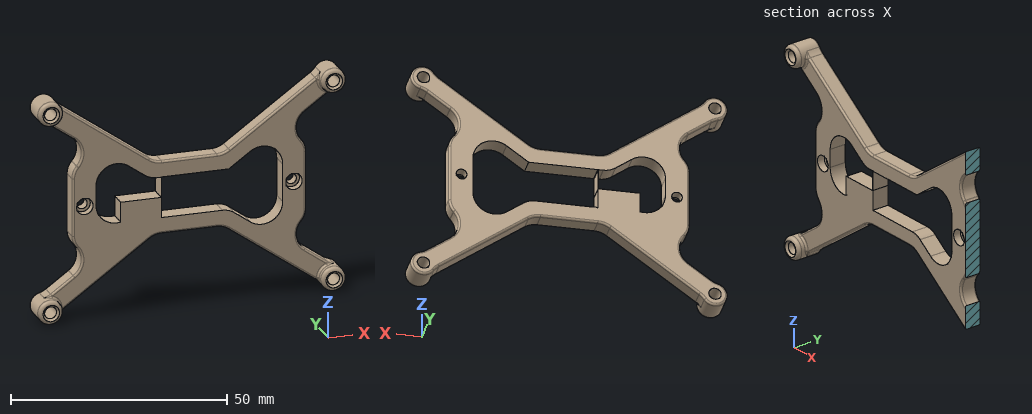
import cadquery as cq
import math

plate_thickness = 4.5
boss_height = 7.0
boss_diameter = 6.0
boss_x = 34.5
boss_z = 24.5

arm_half_width = 2.5
neck_half_height = 9.0
neck_radius = 5.0
boss_blend_radius = 5.0
side_x = 28.5
side_corner_z = 8.79
side_radius = 4.5
notch_radius = 4.65
notch_flank_angle = math.radians(49)

opening_half_width = 22.75
opening_half_height = 5.0
opening_arm_offset = 1.5
lobe_radius = 5.0

block_width = 10.0
block_height = 6.0
block_right_x = -6.75
block_top_z = 0.0
web_thickness = 0.1

bore_diameter = 2.9
countersink_diameter = 4.0
side_hole_x = 25.5
side_hole_diameter = 2.5
counterbore_diameter = 4.0
counterbore_depth = 2.0

edge_radius = 0.5
boss_tip_radius = 1.0
boss_root_radius = 0.5
selection_margin = 0.05

arm_slope = boss_z / boss_x
arm_angle = math.atan(arm_slope)
boss_centers = [(side_sign * boss_x, end_sign * boss_z) for side_sign in (-1, 1) for end_sign in (-1, 1)]
side_hole_centers = [(-side_hole_x, 0), (side_hole_x, 0)]


def arm_line_intercept(offset):
    """Z at X = 0 of the line parallel to an arm axis, moved sideways by offset."""
    return offset / math.cos(arm_angle)


def corner_arc(previous_corner, corner, next_corner):
    """Start, middle and end points of the tangent arc that rounds a corner."""
    x, z, radius = corner
    apex = cq.Vector(x, z)
    to_previous = (cq.Vector(*previous_corner[:2]) - apex).normalized()
    to_next = (cq.Vector(*next_corner[:2]) - apex).normalized()
    half_angle = to_previous.getAngle(to_next) / 2
    setback = radius / math.tan(half_angle)
    depth = radius / math.sin(half_angle) - radius
    start = apex + to_previous * setback
    middle = apex + (to_previous + to_next).normalized() * depth
    end = apex + to_next * setback
    return [(point.x, point.y) for point in (start, middle, end)]


def rounded_profile(corners):
    """Closed XZ profile through (x, z, radius) corners; a zero radius leaves a corner sharp."""
    profile = cq.Workplane("XZ")
    for i, corner in enumerate(corners):
        next_corner = corners[(i + 1) % len(corners)]
        start, middle, end = corner_arc(corners[i - 1], corner, next_corner)
        profile = profile.moveTo(*start) if i == 0 else profile.lineTo(*start)
        is_rounded = corner[2] > 0
        if is_rounded:
            profile = profile.threePointArc(middle, end)
    return profile.close()


def cylinders(centers, diameter, length):
    """Cylinders along Y that start on the back plane and run toward -Y."""
    return cq.Workplane("XZ").pushPoints(centers).circle(diameter / 2).extrude(length)


def box_around(center, half_size, y_min, y_max):
    """Selector for what is centred in a square column about a boss axis."""
    x, z = center
    low_corner = (x - half_size, y_min, z - half_size)
    high_corner = (x + half_size, y_max, z + half_size)
    return cq.selectors.BoxSelector(low_corner, high_corner)


def outer_plate():
    """Plate with its arms, mirrored from the corners of the +X +Z quarter."""
    upper_intercept = arm_line_intercept(arm_half_width)
    lower_intercept = arm_line_intercept(-arm_half_width)
    neck_corner_x = (neck_half_height - upper_intercept) / arm_slope

    flank_slope = math.tan(notch_flank_angle)
    notch_x = (side_corner_z + flank_slope * side_x - lower_intercept) / (arm_slope + flank_slope)
    notch_z = arm_slope * notch_x + lower_intercept

    end_shift_x = arm_half_width * math.sin(arm_angle)
    end_shift_z = arm_half_width * math.cos(arm_angle)
    quarter = [
        (side_x, side_corner_z, side_radius),
        (notch_x, notch_z, notch_radius),
        (boss_x + end_shift_x, boss_z - end_shift_z, 0),
        (boss_x - end_shift_x, boss_z + end_shift_z, 0),
        (neck_corner_x, neck_half_height, neck_radius),
    ]
    top_half = quarter + [(-x, z, radius) for x, z, radius in reversed(quarter)]
    bottom_half = [(-x, -z, radius) for x, z, radius in top_half]
    return rounded_profile(top_half + bottom_half).extrude(plate_thickness)


def plate_with_boss_blends():
    """Plate whose arms flare into round ends, with its front and back edges rounded."""
    plate = outer_plate().union(cylinders(boss_centers, boss_diameter, plate_thickness))
    joint_reach = boss_diameter / 2 + selection_margin
    for center in boss_centers:
        joint = box_around(center, joint_reach, -plate_thickness, 0)
        plate = plate.edges("|Y").edges(joint).fillet(boss_blend_radius)
    return plate.edges(">Y").fillet(edge_radius).edges("<Y").fillet(edge_radius)


def bosses():
    """Round bosses with a full radius at the tip and rounded back edges."""
    posts = cylinders(boss_centers, boss_diameter, boss_height)
    return posts.edges("<Y").fillet(boss_tip_radius).edges(">Y").fillet(edge_radius)


def blend_boss_roots(body):
    """Concave fillet where each boss rises from the front of its arm."""
    front_y = -plate_thickness
    for center in boss_centers:
        root = box_around(
            center, boss_diameter / 2, front_y - selection_margin, front_y + selection_margin
        )
        body = body.edges("%CIRCLE").edges(root).fillet(boss_root_radius)
    return body


def central_opening():
    """Prism of the whole opening, before the block and web are left standing in it."""
    arm_line_z = arm_line_intercept(-opening_arm_offset)
    lobe_corner_z = arm_slope * opening_half_width + arm_line_z
    neck_corner_x = (opening_half_height - arm_line_z) / arm_slope
    corners = [
        (opening_half_width, lobe_corner_z, lobe_radius),
        (neck_corner_x, opening_half_height, 0),
        (-neck_corner_x, opening_half_height, neck_radius),
        (-opening_half_width, lobe_corner_z, lobe_radius),
        (-opening_half_width, block_top_z, 0),
        (block_right_x, block_top_z, 0),
        (block_right_x, -opening_half_height, 0),
        (neck_corner_x, -opening_half_height, neck_radius),
        (opening_half_width, -lobe_corner_z, lobe_radius),
    ]
    lower_lobe_center = (lobe_radius - opening_half_width, block_top_z)
    lower_lobe = cylinders([lower_lobe_center], 2 * lobe_radius, plate_thickness)
    return rounded_profile(corners).extrude(plate_thickness).union(lower_lobe)


def block_and_web():
    """Block, and the thin web from its top right edge up to the upper neck bar."""
    block = cq.Workplane("XY").box(block_width, plate_thickness, block_height, centered=False)
    block = block.translate((block_right_x - block_width, -plate_thickness, block_top_z - block_height))
    web_height = opening_half_height - block_top_z
    web = cq.Workplane("XY").box(web_thickness, plate_thickness, web_height, centered=False)
    web = web.translate((block_right_x - web_thickness, -plate_thickness, block_top_z))
    return block.union(web)


def boss_bores():
    """Through bores with a 45 degree countersink at each boss tip."""
    bores = cylinders(boss_centers, bore_diameter, boss_height)
    countersink_depth = (countersink_diameter - bore_diameter) / 2
    for x, z in boss_centers:
        mouth = cq.Solid.makeCone(
            countersink_diameter / 2,
            bore_diameter / 2,
            countersink_depth,
            pnt=cq.Vector(x, -boss_height, z),
            dir=cq.Vector(0, 1, 0),
        )
        bores = bores.union(cq.Workplane(mouth))
    return bores


def side_holes():
    """Through holes beside the opening, counterbored from the front."""
    holes = cylinders(side_hole_centers, side_hole_diameter, plate_thickness)
    counterbores = cylinders(side_hole_centers, counterbore_diameter, counterbore_depth)
    counterbores = counterbores.translate((0, counterbore_depth - plate_thickness, 0))
    return holes.union(counterbores)


body = blend_boss_roots(plate_with_boss_blends().union(bosses()))
body = body.cut(central_opening().cut(block_and_web()))
result = body.cut(boss_bores()).cut(side_holes())